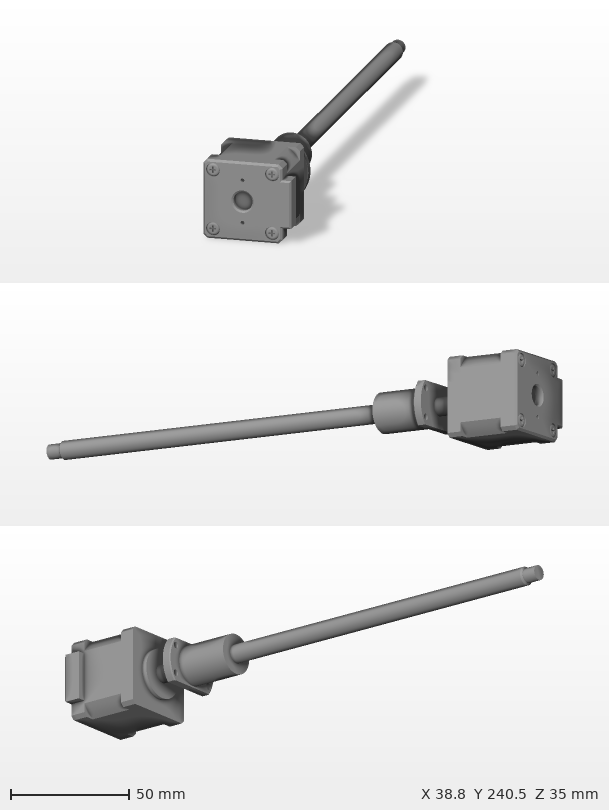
import cadquery as cq


MOTOR_SIZE = 35.0
REAR_CAP_LENGTH = 8.0
STATOR_END = 27.7
FRONT_FACE = 34.2
CAP_CORNER = 1.7
STATOR_DIAMETER = 42.0
REAR_CHAMFER = 1.0
PILOT_DIAMETER = 22.0
PILOT_HEIGHT = 2.2

CONNECTOR_REACH = 3.8
CONNECTOR_HEIGHT = 21.2
CONNECTOR_CHAMFER = 0.7

REAR_BORE_DIAMETER = 8.5
REAR_BORE_CHAMFER = 0.7
REAR_BORE_DEPTH = 3.5
PIN_HOLE_DIAMETER = 1.7
PIN_HOLE_DEPTH = 2.5
PIN_HOLE_OFFSET = 9.5

SCREW_OFFSET = 13.0
SCREW_HEAD_DIAMETER = 6.0
SCREW_HEAD_HEIGHT = 2.0
SCREW_HEAD_ROUND = 1.2
SCREW_SHANK_DIAMETER = 3.0
SCREW_LENGTH = 30.0
RECESS_SPAN = 3.0
RECESS_WIDTH = 0.7
RECESS_DEPTH = 1.0

TIP_END = 240.5
TIP_DIAMETER = 6.5
TIP_LENGTH = 6.3
SHAFT_DIAMETER = 8.2
SHAFT_CHAMFER = 0.7
JOURNAL_DIAMETER = 5.3

NUT_START = 48.5
NUT_LENGTH = 27.7
NUT_DIAMETER = 17.8
FLANGE_DIAMETER = 30.3
FLANGE_HEIGHT = 19.2
FLANGE_THICKNESS = 3.8
FLANGE_HOLE_DIAMETER = 3.0
FLANGE_CHAMFER = 0.5
FLANGE_HOLE_X = 11.0
FLANGE_HOLE_Z = 6.3


def four_corners(x, z):
    """The four points at plus and minus x and z from the motor axis."""
    return [(side_x * x, side_z * z) for side_x in (-1, 1) for side_z in (-1, 1)]


SCREW_PLACES = four_corners(SCREW_OFFSET, SCREW_OFFSET)


def section_at(y):
    """Sketch plane across the motor axis: local x is X, local y is Z, extrusion goes toward +Y."""
    return cq.Workplane(cq.Plane(origin=(0, y, 0), xDir=(1, 0, 0), normal=(0, -1, 0)))


def cylinder(diameter, start, end, places=((0, 0),)):
    """Cylinders along Y from start to end, one at each (x, z) place."""
    return section_at(start).pushPoints(places).circle(diameter / 2).extrude(start - end)


def block(width, height, start, end):
    """Box centred on the motor axis, from start to end along Y."""
    return section_at(start).rect(width, height).extrude(start - end)


def screw_space():
    """Counterbored holes that the four motor screws fill."""
    heads = cylinder(SCREW_HEAD_DIAMETER, 0, SCREW_HEAD_HEIGHT, SCREW_PLACES)
    return heads.union(cylinder(SCREW_SHANK_DIAMETER, 0, SCREW_LENGTH, SCREW_PLACES))


def rear_bore():
    """Chamfered blind bore behind the journal of the lead screw."""
    radius = REAR_BORE_DIAMETER / 2
    half_section = [
        (0, 0),
        (radius + REAR_BORE_CHAMFER, 0),
        (radius, REAR_BORE_CHAMFER),
        (radius, REAR_BORE_DEPTH),
        (0, REAR_BORE_DEPTH),
    ]
    return cq.Workplane("XY").polyline(half_section).close().revolve(360, (0, 0, 0), (0, 1, 0))


def make_rear_cap():
    """Rear end with the connector on its +X side."""
    cap = block(MOTOR_SIZE, MOTOR_SIZE, 0, REAR_CAP_LENGTH)
    cap = cap.edges("|Y").chamfer(CAP_CORNER)
    cap = cap.faces("<Y").edges().chamfer(REAR_CHAMFER)
    connector_width = MOTOR_SIZE / 2 + CONNECTOR_REACH
    connector = block(connector_width, CONNECTOR_HEIGHT, 0, REAR_CAP_LENGTH)
    connector = connector.faces("<Y").edges().chamfer(CONNECTOR_CHAMFER)
    cap = cap.union(connector.translate((connector_width / 2, 0, 0)))
    pin_places = [(0, -PIN_HOLE_OFFSET), (0, PIN_HOLE_OFFSET)]
    cap = cap.cut(cylinder(PIN_HOLE_DIAMETER, 0, PIN_HOLE_DEPTH, pin_places))
    cap = cap.cut(rear_bore())
    cap = cap.cut(cylinder(JOURNAL_DIAMETER, 0, REAR_CAP_LENGTH))
    return cap.cut(screw_space())


def make_motor_body():
    """Stator and front end in one piece, with a pilot disc and a bore for the lead screw."""
    pilot_end = FRONT_FACE + PILOT_HEIGHT
    stator = block(MOTOR_SIZE, MOTOR_SIZE, REAR_CAP_LENGTH, STATOR_END)
    stator = stator.intersect(cylinder(STATOR_DIAMETER, REAR_CAP_LENGTH, STATOR_END))
    front = block(MOTOR_SIZE, MOTOR_SIZE, STATOR_END, FRONT_FACE)
    front = front.edges("|Y").chamfer(CAP_CORNER)
    pilot = cylinder(PILOT_DIAMETER, FRONT_FACE, pilot_end)
    body = stator.union(front).union(pilot)
    body = body.cut(cylinder(SHAFT_DIAMETER, REAR_CAP_LENGTH, pilot_end))
    return body.cut(screw_space())


def make_motor_screw(place):
    """Round-headed screw with a cross recess."""
    head = cylinder(SCREW_HEAD_DIAMETER, 0, SCREW_HEAD_HEIGHT)
    head = head.faces("<Y").edges().fillet(SCREW_HEAD_ROUND)
    recess = block(RECESS_SPAN, RECESS_WIDTH, 0, RECESS_DEPTH)
    recess = recess.union(block(RECESS_WIDTH, RECESS_SPAN, 0, RECESS_DEPTH))
    shank = cylinder(SCREW_SHANK_DIAMETER, SCREW_HEAD_HEIGHT, SCREW_LENGTH)
    x, z = place
    return head.union(shank).cut(recess).translate((x, 0, z))


def make_lead_screw():
    """Plain shaft with a thinner tip and a journal that ends in the rear bore."""
    shoulder = TIP_END - TIP_LENGTH
    shaft = cylinder(SHAFT_DIAMETER, REAR_CAP_LENGTH, shoulder)
    shaft = shaft.faces(">Y").edges().chamfer(SHAFT_CHAMFER)
    journal = cylinder(JOURNAL_DIAMETER, REAR_BORE_DEPTH, REAR_CAP_LENGTH)
    return shaft.union(cylinder(TIP_DIAMETER, shoulder, TIP_END)).union(journal)


def make_nut():
    """Round flange with flat top and bottom, and a barrel toward +Y."""
    flange_end = NUT_START + FLANGE_THICKNESS
    nut_end = NUT_START + NUT_LENGTH
    flange = cylinder(FLANGE_DIAMETER, NUT_START, flange_end)
    flange = flange.faces(">Y").edges().chamfer(FLANGE_CHAMFER)
    flange = flange.intersect(block(FLANGE_DIAMETER, FLANGE_HEIGHT, NUT_START, flange_end))
    hole_places = four_corners(FLANGE_HOLE_X, FLANGE_HOLE_Z)
    flange = flange.cut(cylinder(FLANGE_HOLE_DIAMETER, NUT_START, flange_end, hole_places))
    nut = flange.union(cylinder(NUT_DIAMETER, NUT_START, nut_end))
    return nut.cut(cylinder(SHAFT_DIAMETER, NUT_START, nut_end))


rear_cap = make_rear_cap()
motor_body = make_motor_body()
motor_screws = [make_motor_screw(place) for place in SCREW_PLACES]
lead_screw = make_lead_screw()
nut = make_nut()

result = cq.Compound.makeCompound(
    [
        rear_cap.val(),
        motor_body.val(),
        *[screw.val() for screw in motor_screws],
        lead_screw.val(),
        nut.val(),
    ]
)